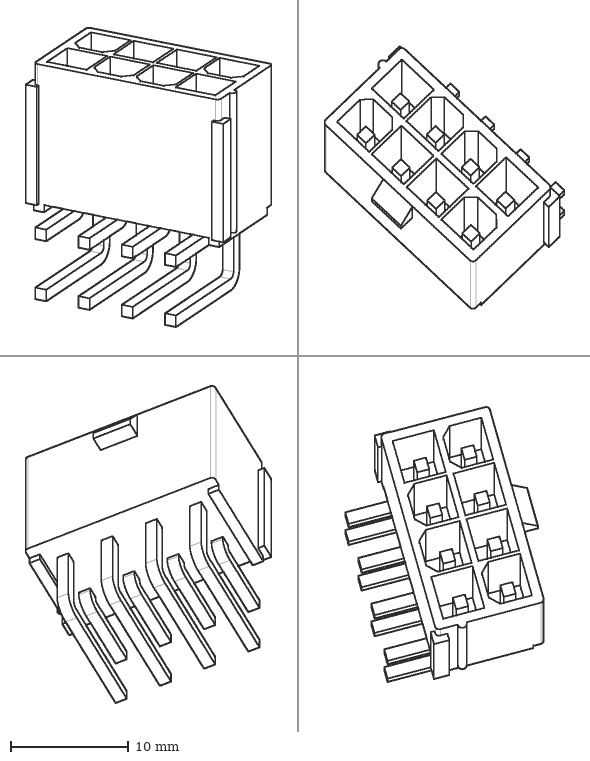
import cadquery as cq


body_width = 18.0
body_depth = 9.6
body_height = 12.8
corner_radius = 0.35
back_y = body_depth / 2
front_y = -body_depth / 2

contact_pitch = 4.2
columns = 4
rear_row_inset = 2.5
rear_row_y = back_y - rear_row_inset
front_row_y = rear_row_y - contact_pitch
column_x = [(i - (columns - 1) / 2) * contact_pitch for i in range(columns)]

pocket_width = 3.85
pocket_shift = 0.05
rear_wall = 0.9
rear_pocket_back_y = back_y - rear_wall
rear_pocket_depth_y = 3.6
front_pocket_back_y = rear_pocket_back_y - contact_pitch
front_pocket_depth_y = 3.65
enlarged_pocket_extra = 0.15
key_chamfer = 0.8
pocket_depth = 9.8
enlarged_column = 2

pin_size = 1.07
pin_tip_z = -3.0
tail_reach = 3.7
tail_end_y = front_y - tail_reach
rear_tail_bottom_z = -19.93
tail_row_spacing = 5.5
front_tail_bottom_z = rear_tail_bottom_z + tail_row_spacing
rear_bend_radius = 0.5
front_bend_radius = 0.3

rib_span = 19.2
rib_width = 1.1
rib_depth = 1.36
rib_projection = 0.35
rib_front_y = front_y - rib_projection
rib_top_z = -1.95

foot_width = 1.0
foot_height = 0.67
foot_back_setback = 1.0
foot_back_y = back_y - foot_back_setback

latch_width = 3.5
latch_reach = 1.4
latch_ramp_bottom_z = -2.25
latch_bottom_z = -3.0

bead_radius = 0.4
bead_inset = 2.3
bead_y = front_y + bead_inset


def box(x_min, x_max, y_min, y_max, z_min, z_max):
    size = (x_max - x_min, y_max - y_min, z_max - z_min)
    return cq.Workplane("XY").box(*size, centered=False).translate((x_min, y_min, z_min))


def housing():
    block = box(-body_width / 2, body_width / 2, front_y, back_y, -body_height, 0)
    return block.edges("|Z").fillet(corner_radius)


def pocket(x, pocket_back_y, depth_y, keyed):
    half = pocket_width / 2
    cut = box(x - half, x + half, pocket_back_y - depth_y, pocket_back_y, -pocket_depth, 0)
    if keyed:
        cut = cut.edges("|Z and <Y").chamfer(key_chamfer)
    return cut


def pockets():
    cuts = cq.Workplane("XY")
    for i, pin_x in enumerate(column_x):
        outer = i in (0, columns - 1)
        shift = pocket_shift if outer else 0
        x = pin_x - shift if pin_x > 0 else pin_x + shift
        front_depth = front_pocket_depth_y + (enlarged_pocket_extra if i == enlarged_column else 0)
        cuts = cuts.add(pocket(x, rear_pocket_back_y, rear_pocket_depth_y, outer))
        cuts = cuts.add(pocket(x, front_pocket_back_y, front_depth, not outer))
    return cuts.combine()


def pin(x, row_y, tail_bottom_z, bend_radius):
    """Square wire: straight down from its tip, then bent forward into a level tail."""
    leg_back = row_y + pin_size / 2
    leg_front = row_y - pin_size / 2
    tail_top_z = tail_bottom_z + pin_size
    outer_radius = bend_radius + pin_size
    profile = (
        cq.Workplane("YZ")
        .moveTo(leg_back, pin_tip_z)
        .lineTo(leg_back, tail_bottom_z + outer_radius)
        .radiusArc((leg_back - outer_radius, tail_bottom_z), outer_radius)
        .lineTo(tail_end_y, tail_bottom_z)
        .lineTo(tail_end_y, tail_top_z)
        .lineTo(leg_front - bend_radius, tail_top_z)
        .radiusArc((leg_front, tail_top_z + bend_radius), -bend_radius)
        .lineTo(leg_front, pin_tip_z)
        .close()
    )
    return profile.extrude(pin_size).translate((x - pin_size / 2, 0, 0))


def rib():
    rib_right = -rib_span / 2 + rib_width
    return box(-rib_span / 2, rib_right, rib_front_y, rib_front_y + rib_depth, -body_height, rib_top_z)


def foot():
    foot_left = -body_width / 2
    foot_bottom = -body_height - foot_height
    return box(foot_left, foot_left + foot_width, front_y, foot_back_y, foot_bottom, -body_height)


def latch():
    profile = (
        cq.Workplane("YZ")
        .moveTo(back_y, 0)
        .lineTo(back_y + latch_reach, latch_ramp_bottom_z)
        .lineTo(back_y + latch_reach, latch_bottom_z)
        .lineTo(back_y, latch_bottom_z)
        .close()
    )
    return profile.extrude(latch_width / 2, both=True)


def bead():
    return cq.Workplane("XY").center(body_width / 2, bead_y).circle(bead_radius).extrude(-body_height)


result = housing().union(bead()).union(latch())
for side_part in (rib(), foot()):
    result = result.union(side_part).union(side_part.mirror("YZ"))
result = result.cut(pockets())
for pin_x in column_x:
    result = result.union(pin(pin_x, rear_row_y, rear_tail_bottom_z, rear_bend_radius))
    result = result.union(pin(pin_x, front_row_y, front_tail_bottom_z, front_bend_radius))